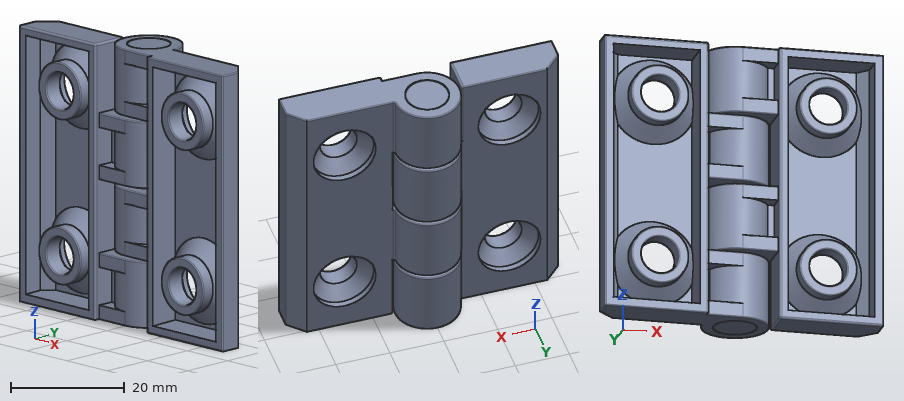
import cadquery as cq
import math

width = 50.5
height = 50.3
half_width = width / 2
half_height = height / 2

pin_diameter = 7.8
knuckle_radius = 6.0
knuckle_count = 4
knuckle_gap = 0.6
knuckle_length = (height - (knuckle_count - 1) * knuckle_gap) / knuckle_count
knuckle_pitch = knuckle_length + knuckle_gap
leaf_knuckle_places = (1, 3)
root_fillet = 0.4
web_height = 2.6
web_floor = 2.9

leaf_inner_end = math.sqrt((knuckle_radius + root_fillet) ** 2 - root_fillet ** 2)
leaf_thickness = 7.0
leaf_chamfer = 3.0
leaf_wall = 1.6
pocket_draft = 2.0
end_fillet = 0.4
edge_round = 0.2
tolerance = 1e-3

screw_x = 15.25
screw_z = 15.0
screw_hole_diameter = 6.8
screw_head_diameter = 11.5
countersink_depth = (screw_head_diameter - screw_hole_diameter) / 2
head_recess_depth = 1.2
boss_diameter = 10.4
cone_base_diameter = 15.6
cone_end_depth = 4.5


def extrude_z(profile, bottom, top):
    """Extrude an XY sketch between two Z levels."""
    return profile.extrude(top - bottom).translate((0, 0, bottom))


def make_plate():
    """Leaf plate with its sloped outer edge."""
    outline = cq.Workplane("XY").polyline([
        (leaf_inner_end, 0),
        (half_width - leaf_chamfer, 0),
        (half_width, -leaf_chamfer),
        (half_width, -leaf_thickness),
        (leaf_inner_end, -leaf_thickness),
    ]).close()
    return extrude_z(outline, -half_height, half_height)


def make_pocket():
    """Hollow of the leaf: walls drafted from the rim, floor parallel to the back face."""
    slope_inset = leaf_wall * math.tan(math.radians(22.5))
    inner_x = leaf_inner_end + leaf_wall
    outer_x = half_width - leaf_wall
    outline = cq.Workplane("XY").polyline([
        (inner_x, -leaf_wall),
        (half_width - leaf_chamfer - slope_inset, -leaf_wall),
        (outer_x, -leaf_chamfer - slope_inset),
        (outer_x, -leaf_thickness),
        (inner_x, -leaf_thickness),
    ]).close()
    hollow = extrude_z(outline, leaf_wall - half_height, half_height - leaf_wall)
    drafted = (
        cq.Workplane("XZ", origin=((inner_x + outer_x) / 2, -leaf_thickness, 0))
        .rect(outer_x - inner_x, height - 2 * leaf_wall)
        .extrude(-leaf_thickness, taper=pocket_draft)
    )
    return hollow.intersect(drafted)


def revolve_about_y(points):
    """Turn a closed (radius, y) outline about the Y axis."""
    return cq.Workplane("XY").polyline(points).close().revolve(360, (0, 0, 0), (0, 1, 0))


def make_boss():
    """Conical boss that ends in a short tube with a rounded rim."""
    cone_radius = cone_base_diameter / 2
    tube_radius = boss_diameter / 2
    boss = revolve_about_y([
        (0, 0),
        (cone_radius, 0),
        (cone_radius, -leaf_wall),
        (tube_radius, -cone_end_depth),
        (tube_radius, -leaf_thickness),
        (0, -leaf_thickness),
    ])
    return boss.faces("<Y").edges().fillet(edge_round)


def make_screw_hole():
    """Through hole, rounded at the mounting face and countersunk from the back."""
    hole_radius = screw_hole_diameter / 2
    head_radius = screw_head_diameter / 2
    rim_radius = hole_radius + edge_round
    arc_shift = edge_round * (1 - math.sqrt(0.5))
    outline = (
        cq.Workplane("XY")
        .moveTo(0, 0)
        .lineTo(head_radius, 0)
        .lineTo(head_radius, -head_recess_depth)
        .lineTo(hole_radius, -head_recess_depth - countersink_depth)
        .lineTo(hole_radius, edge_round - leaf_thickness)
        .threePointArc(
            (hole_radius + arc_shift, arc_shift - leaf_thickness),
            (rim_radius, -leaf_thickness),
        )
        .lineTo(0, -leaf_thickness)
        .close()
    )
    return outline.revolve(360, (0, 0, 0), (0, 1, 0))


def make_knuckle(bottom):
    """Knuckle barrel with its solid root, blended into the back face of the leaf."""
    tangent_angle = math.asin(root_fillet / (knuckle_radius + root_fillet))
    tangent_point = (
        knuckle_radius * math.cos(tangent_angle),
        knuckle_radius * math.sin(tangent_angle),
    )
    outline = (
        cq.Workplane("XY")
        .moveTo(0, -knuckle_radius)
        .lineTo(leaf_inner_end, -knuckle_radius)
        .lineTo(leaf_inner_end, 0)
        .radiusArc(tangent_point, root_fillet)
        .threePointArc((-knuckle_radius, 0), (0, -knuckle_radius))
        .close()
    )
    return extrude_z(outline, bottom, bottom + knuckle_length)


def make_root_hollow(bottom):
    """Space between the two webs of a knuckle root, in front of the barrel."""
    low = bottom + web_height
    high = bottom + knuckle_length - web_height
    corner = cq.Workplane("XY").polyline([
        (0, -knuckle_radius),
        (leaf_inner_end, -knuckle_radius),
        (leaf_inner_end, -web_floor),
        (0, -web_floor),
    ]).close()
    barrel = extrude_z(cq.Workplane("XY").circle(knuckle_radius), low, high)
    return extrude_z(corner, low, high).cut(barrel)


def is_inner_end_edge(edge):
    """True for an edge that lies across the inner end of the plate."""
    box = edge.BoundingBox()
    offset = box.xmax - leaf_inner_end
    return box.xlen < tolerance and -tolerance < offset < end_fillet + tolerance


def is_knuckle_end(face):
    """True for a knuckle end that stands clear of both ends of the plate."""
    return abs(face.Center().z) < half_height - tolerance


def round_leaf_edges(body):
    """Round the free edges of a plate with its knuckles, more so at its inner end."""
    body = body.faces("<Y").edges("|Z").filter(is_inner_end_edge).fillet(end_fillet)
    body = body.faces("<Z").edges().filter(is_inner_end_edge).fillet(end_fillet)

    knuckle_ends = body.faces("|Z").filter(is_knuckle_end)
    free_edges = knuckle_ends.edges().filter(lambda edge: not is_inner_end_edge(edge))
    body = free_edges.fillet(edge_round)

    for plate_end in ("<Z", ">Z"):
        end_edges = body.faces(plate_end).edges()
        body = end_edges.filter(lambda edge: not is_inner_end_edge(edge)).fillet(edge_round)
    return body.faces(">X").edges("|Z").fillet(edge_round)


def make_pin_blank():
    """Full-length cylinder of the pin, which also cuts its bore."""
    return extrude_z(cq.Workplane("XY").circle(pin_diameter / 2), -half_height, half_height)


def make_leaf():
    """Leaf with its plate on the +X side and knuckles in the second and top places."""
    bottoms = [knuckle_pitch * place - half_height for place in leaf_knuckle_places]
    plate = make_plate()
    leaf = plate
    for bottom in bottoms:
        leaf = leaf.union(make_knuckle(bottom))
    leaf = round_leaf_edges(leaf).cut(make_pocket())
    for z in (-screw_z, screw_z):
        leaf = leaf.union(make_boss().translate((screw_x, 0, z)).intersect(plate))
    for z in (-screw_z, screw_z):
        leaf = leaf.cut(make_screw_hole().translate((screw_x, 0, z)))
    for bottom in bottoms:
        leaf = leaf.cut(make_root_hollow(bottom))
    return leaf.cut(make_pin_blank())


right_leaf = make_leaf()
left_leaf = right_leaf.rotate((0, 0, 0), (0, 1, 0), 180)
pin = make_pin_blank().faces("|Z").edges().fillet(edge_round)

result = cq.Compound.makeCompound([right_leaf.val(), left_leaf.val(), pin.val()])